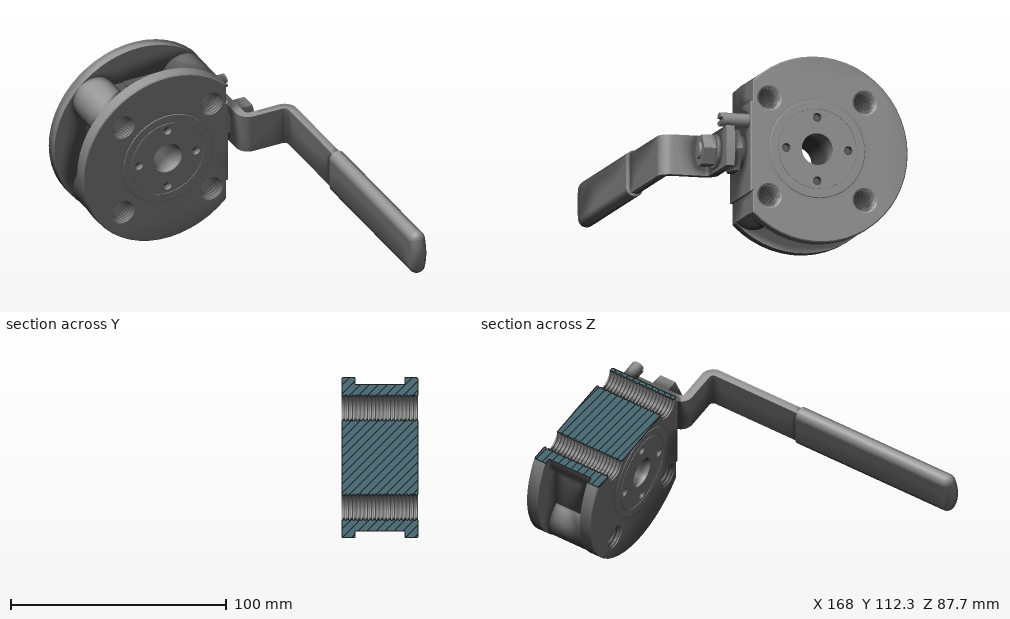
import cadquery as cq
import math


FACE_TO_FACE = 36.1
FACE_HEIGHT = 0.3
FACE_DIAMETER = 46.0
FACE_CHAMFER = 0.25
FLANGE_DIAMETER = 87.7
FLANGE_THICKNESS = 6.2
FLANGE_FLAT_Y = 30.9
FLANGE_CHAMFER = 0.5
CORE_HALF_WIDTH = 27.4
NAMEPLATE_HALF_WIDTH = 8.0
NAMEPLATE_HEIGHT = 0.5
MOUNT_TOP_Y = 32.0
MOUNT_HALF_WIDTH = 21.2
MID_X = FACE_TO_FACE / 2
FLANGE_START_X = FACE_HEIGHT
FLANGE_END_X = FACE_TO_FACE - FACE_HEIGHT
FLANGE_SPAN = FLANGE_END_X - FLANGE_START_X

BOLT_OFFSET = 23.0
BOSS_DIAMETER = 22.2
BOLT_HOLE_DIAMETER = 10.5
BOLT_THREAD_DIAMETER = 12.0
THREAD_COUNT = 20

BORE_DIAMETER = 15.0
SEAT_DIAMETER = 38.0
SEAT_GROOVE_WIDTH = 0.3
SEAT_GROOVE_DEPTH = 0.3
SPANNER_HOLE_DIAMETER = 4.2
SPANNER_HOLE_RADIUS = 15.0
SPANNER_HOLE_DEPTH = 3.4

PIN_DIAMETER = 6.5
PIN_X = 5.2
PIN_Z = 12.6
PIN_TOP_Y = 45.9
PIN_SLOT_WIDTH = 1.5
PIN_SLOT_DEPTH = 1.2

COLLAR_DIAMETER = 16.0
COLLAR_TOP_Y = 33.8
GLAND_NUT_FLATS = 18.8
GLAND_NUT_TOP_Y = 37.5
STEM_DIAMETER = 12.0
WASHER_TOP_Y = 45.2
LEVER_NUT_FLATS = 13.8
LEVER_NUT_TOP_Y = 51.5
NUT_CHAMFER_ANGLE = 30
THREAD_DIAMETER = 8.0
THREAD_TOP_Y = 52.5
THREAD_CHAMFER = 0.7

LEVER_THICKNESS = 4.0
LEVER_HALF_WIDTH = 9.4
LEVER_BASE_Y = 39.5
GRIP_TOP_Y = 68.5
GRIP_THICKNESS = 7.9
LEVER_ARM_Y = GRIP_TOP_Y - GRIP_THICKNESS / 2
LEVER_TAIL_X = 0.8
LEVER_TAIL_RADIUS = 58.8
LEVER_CRANK_X = 35.1
BEND_INNER_RADIUS = 2.0
BEND_OUTER_RADIUS = BEND_INNER_RADIUS + LEVER_THICKNESS
LEVER_BASE_TOP_Y = LEVER_BASE_Y + LEVER_THICKNESS
LEVER_ARM_TOP_Y = LEVER_ARM_Y + LEVER_THICKNESS / 2
LEVER_ARM_BOTTOM_Y = LEVER_ARM_Y - LEVER_THICKNESS / 2

GRIP_START_X = 82.0
GRIP_END_X = 168.0
GRIP_HALF_WIDTH = 11.0
GRIP_END_SAG = 1.3
GRIP_LIP_FILLET = 0.5
GRIP_EDGE_FILLET = 3.93
GRIP_ROUND = GRIP_THICKNESS / 2
GRIP_CORE_HALF_WIDTH = GRIP_HALF_WIDTH - GRIP_ROUND
GRIP_CORE_END_X = GRIP_END_X - GRIP_ROUND
LEVER_TIP_X = GRIP_CORE_END_X - GRIP_END_SAG


def disc_along_x(diameter, start, length, y=0.0, z=0.0):
    """Round cylinder along X."""
    axis = cq.Vector(1, 0, 0)
    return cq.Workplane(cq.Solid.makeCylinder(diameter / 2, length, cq.Vector(start, y, z), axis))


def disc_along_y(diameter, bottom, top, x=MID_X, z=0.0):
    """Round cylinder along Y, on the stem axis unless placed elsewhere."""
    axis = cq.Vector(0, 1, 0)
    return cq.Workplane(cq.Solid.makeCylinder(diameter / 2, top - bottom, cq.Vector(x, bottom, z), axis))


def make_nut(flats, bottom, top, chamfer_at):
    """Hexagon nut on the stem axis, its corners toward -X and +X and chamfered at one end."""
    corner_diameter = flats / math.cos(math.pi / 6)
    hexagon = (
        cq.Workplane("XZ", origin=(MID_X, bottom, 0))
        .polygon(6, corner_diameter)
        .extrude(bottom - top)
    )
    turned = disc_along_y(corner_diameter, bottom, top)
    corner_depth = (corner_diameter - flats) / 2
    slope = math.tan(math.radians(NUT_CHAMFER_ANGLE))
    turned = turned.faces(chamfer_at).chamfer(corner_depth * slope, corner_depth)
    return hexagon.intersect(turned)


def box(x_range, y_range, z_range):
    """Box between the given limits."""
    sides = [high - low for low, high in (x_range, y_range, z_range)]
    return cq.Workplane("XY").box(*sides, centered=False).translate((x_range[0], y_range[0], z_range[0]))


def bolt_positions():
    """(y, z) of the four bolt axes."""
    return [(y, z) for y in (-BOLT_OFFSET, BOLT_OFFSET) for z in (-BOLT_OFFSET, BOLT_OFFSET)]


def below_flat(body):
    """Trim a body to the flat on the +Y side of the flanges."""
    reach = FLANGE_DIAMETER
    return body.intersect(box((0, FACE_TO_FACE), (-reach, FLANGE_FLAT_Y), (-reach, reach)))


def make_mount(start, length):
    """Stretch of the mounting pad that stands above the flat and carries the stem."""
    x_range = (start, start + length)
    return box(x_range, (BOLT_OFFSET, MOUNT_TOP_Y), (-MOUNT_HALF_WIDTH, MOUNT_HALF_WIDTH))


def make_flange(start, outer_face):
    """Flange disc with its flat and its end of the mounting pad, chamfered around the outer face."""
    disc = below_flat(disc_along_x(FLANGE_DIAMETER, start, FLANGE_THICKNESS))
    disc = disc.union(make_mount(start, FLANGE_THICKNESS))
    return disc.faces(outer_face).chamfer(FLANGE_CHAMFER)


def make_core():
    """Central core and bolt bosses between the flanges."""
    start = FLANGE_START_X + FLANGE_THICKNESS
    length = FLANGE_SPAN - 2 * FLANGE_THICKNESS
    span = (start, start + length)
    between_bolts = (-BOLT_OFFSET, BOLT_OFFSET)
    core = box(span, (-CORE_HALF_WIDTH, FLANGE_FLAT_Y), between_bolts)
    core = core.union(box(span, between_bolts, (-CORE_HALF_WIDTH, CORE_HALF_WIDTH)))
    nameplate_range = (-NAMEPLATE_HALF_WIDTH, NAMEPLATE_HALF_WIDTH)
    core = core.union(box(span, nameplate_range, (0, CORE_HALF_WIDTH + NAMEPLATE_HEIGHT)))
    for y, z in bolt_positions():
        core = core.union(below_flat(disc_along_x(BOSS_DIAMETER, start, length, y, z)))
    return core.union(make_mount(start, length))


def make_body():
    """Both flanges, the core between them and the raised sealing faces."""
    body = make_core()
    body = body.union(make_flange(FLANGE_START_X, "<X"))
    body = body.union(make_flange(FLANGE_END_X - FLANGE_THICKNESS, ">X"))
    faces = disc_along_x(FACE_DIAMETER, 0, FACE_TO_FACE).faces("<X or >X").chamfer(FACE_CHAMFER)
    return body.union(faces)


def make_thread_tool():
    """Bolt hole on the X axis: a core with one flat-bottomed ring groove for each thread pitch."""
    core = BOLT_HOLE_DIAMETER / 2
    root = BOLT_THREAD_DIAMETER / 2
    pitch = FLANGE_SPAN / THREAD_COUNT
    profile = cq.Workplane("XY").moveTo(FLANGE_START_X, 0).lineTo(FLANGE_START_X, root)
    for turn in range(THREAD_COUNT):
        turn_start = FLANGE_START_X + turn * pitch
        profile = profile.lineTo(turn_start + pitch / 4, core)
        profile = profile.lineTo(turn_start + pitch / 2, core)
        profile = profile.lineTo(turn_start + pitch * 3 / 4, root)
        profile = profile.lineTo(turn_start + pitch, root)
    profile = profile.lineTo(FLANGE_END_X, 0).close()
    return profile.revolve(360, (0, 0, 0), (1, 0, 0))


def cut_bolt_holes(body):
    """Threaded bolt holes from flange to flange."""
    tool = make_thread_tool()
    for y, z in bolt_positions():
        body = body.cut(tool.translate((0, y, z)))
    return body


def cut_seats(body):
    """Through bore, and on each face the seat ring joint with its spanner holes."""
    body = body.cut(disc_along_x(BORE_DIAMETER, 0, FACE_TO_FACE))
    seat_inner_diameter = SEAT_DIAMETER - 2 * SEAT_GROOVE_WIDTH
    groove_starts = (0, FACE_TO_FACE - SEAT_GROOVE_DEPTH)
    hole_starts = (0, FACE_TO_FACE - SPANNER_HOLE_DEPTH)
    for groove_x, hole_x in zip(groove_starts, hole_starts):
        groove = disc_along_x(SEAT_DIAMETER, groove_x, SEAT_GROOVE_DEPTH)
        groove = groove.cut(disc_along_x(seat_inner_diameter, groove_x, SEAT_GROOVE_DEPTH))
        body = body.cut(groove)
        for quarter in range(4):
            angle = quarter * math.pi / 2
            y = SPANNER_HOLE_RADIUS * math.cos(angle)
            z = SPANNER_HOLE_RADIUS * math.sin(angle)
            body = body.cut(disc_along_x(SPANNER_HOLE_DIAMETER, hole_x, SPANNER_HOLE_DEPTH, y, z))
    return body


def make_stop_pin():
    """Stop pin beside the lever, with a screwdriver slot in its end."""
    pin = disc_along_y(PIN_DIAMETER, FLANGE_FLAT_Y, PIN_TOP_Y, PIN_X, PIN_Z)
    slot = box(
        (PIN_X - PIN_DIAMETER, PIN_X + PIN_DIAMETER),
        (PIN_TOP_Y - PIN_SLOT_DEPTH, PIN_TOP_Y),
        (PIN_Z - PIN_SLOT_WIDTH / 2, PIN_Z + PIN_SLOT_WIDTH / 2),
    )
    return pin.cut(slot)


def make_stem():
    """Stack on the stem axis: collar, gland nut, stem, washer, lever nut and thread end."""
    thread = disc_along_y(THREAD_DIAMETER, FLANGE_FLAT_Y, THREAD_TOP_Y)
    stem = thread.faces(">Y").chamfer(THREAD_CHAMFER)
    stem = stem.union(disc_along_y(COLLAR_DIAMETER, FLANGE_FLAT_Y, COLLAR_TOP_Y))
    stem = stem.union(make_nut(GLAND_NUT_FLATS, COLLAR_TOP_Y, GLAND_NUT_TOP_Y, ">Y"))
    stem = stem.union(disc_along_y(STEM_DIAMETER, COLLAR_TOP_Y, LEVER_BASE_TOP_Y))
    stem = stem.union(disc_along_y(COLLAR_DIAMETER, LEVER_BASE_TOP_Y, WASHER_TOP_Y))
    return stem.union(make_nut(LEVER_NUT_FLATS, WASHER_TOP_Y, LEVER_NUT_TOP_Y, "<Y"))


def make_lever():
    """Flat bar bent twice, with a slightly rounded tail."""
    crank_inner_x = LEVER_CRANK_X - LEVER_THICKNESS
    bar = (
        cq.Workplane("XY", origin=(0, 0, -LEVER_HALF_WIDTH))
        .moveTo(LEVER_TAIL_X, LEVER_BASE_Y)
        .lineTo(LEVER_CRANK_X - BEND_OUTER_RADIUS, LEVER_BASE_Y)
        .radiusArc((LEVER_CRANK_X, LEVER_BASE_Y + BEND_OUTER_RADIUS), -BEND_OUTER_RADIUS)
        .lineTo(LEVER_CRANK_X, LEVER_ARM_BOTTOM_Y - BEND_INNER_RADIUS)
        .radiusArc((LEVER_CRANK_X + BEND_INNER_RADIUS, LEVER_ARM_BOTTOM_Y), BEND_INNER_RADIUS)
        .lineTo(LEVER_TIP_X, LEVER_ARM_BOTTOM_Y)
        .lineTo(LEVER_TIP_X, LEVER_ARM_TOP_Y)
        .lineTo(crank_inner_x + BEND_OUTER_RADIUS, LEVER_ARM_TOP_Y)
        .radiusArc((crank_inner_x, LEVER_ARM_TOP_Y - BEND_OUTER_RADIUS), -BEND_OUTER_RADIUS)
        .lineTo(crank_inner_x, LEVER_BASE_TOP_Y + BEND_INNER_RADIUS)
        .radiusArc((crank_inner_x - BEND_INNER_RADIUS, LEVER_BASE_TOP_Y), BEND_INNER_RADIUS)
        .lineTo(LEVER_TAIL_X, LEVER_BASE_TOP_Y)
        .close()
        .extrude(2 * LEVER_HALF_WIDTH)
    )
    tail_center_x = LEVER_TAIL_X + LEVER_TAIL_RADIUS
    tail_round = disc_along_y(2 * LEVER_TAIL_RADIUS, LEVER_BASE_Y, LEVER_BASE_TOP_Y, tail_center_x)
    beyond_stem = box(
        (MID_X, LEVER_TIP_X), (LEVER_BASE_Y, LEVER_ARM_TOP_Y), (-LEVER_HALF_WIDTH, LEVER_HALF_WIDTH)
    )
    return bar.intersect(tail_round.union(beyond_stem))


def make_grip():
    """Rounded grip with a bowed end, before it is hollowed for the lever arm."""
    blank_start_x = GRIP_START_X - GRIP_THICKNESS
    blank = (
        cq.Workplane("XZ", origin=(0, GRIP_TOP_Y, 0))
        .moveTo(blank_start_x, -GRIP_CORE_HALF_WIDTH)
        .lineTo(LEVER_TIP_X, -GRIP_CORE_HALF_WIDTH)
        .threePointArc((GRIP_CORE_END_X, 0), (LEVER_TIP_X, GRIP_CORE_HALF_WIDTH))
        .lineTo(blank_start_x, GRIP_CORE_HALF_WIDTH)
        .close()
        .offset2D(GRIP_ROUND)
        .extrude(GRIP_THICKNESS)
    )
    blank = blank.faces("<Y or >Y").edges().fillet(GRIP_EDGE_FILLET)
    half_size = GRIP_END_X
    grip = blank.intersect(box((GRIP_START_X, GRIP_END_X), (0, half_size), (-half_size, half_size)))
    return grip.faces("<X").edges().fillet(GRIP_LIP_FILLET)


valve = cut_seats(cut_bolt_holes(make_body()))
valve = valve.union(make_stop_pin()).union(make_stem()).union(make_lever())
grip = make_grip().cut(make_lever())

result = cq.Compound.makeCompound([valve.val(), grip.val()])